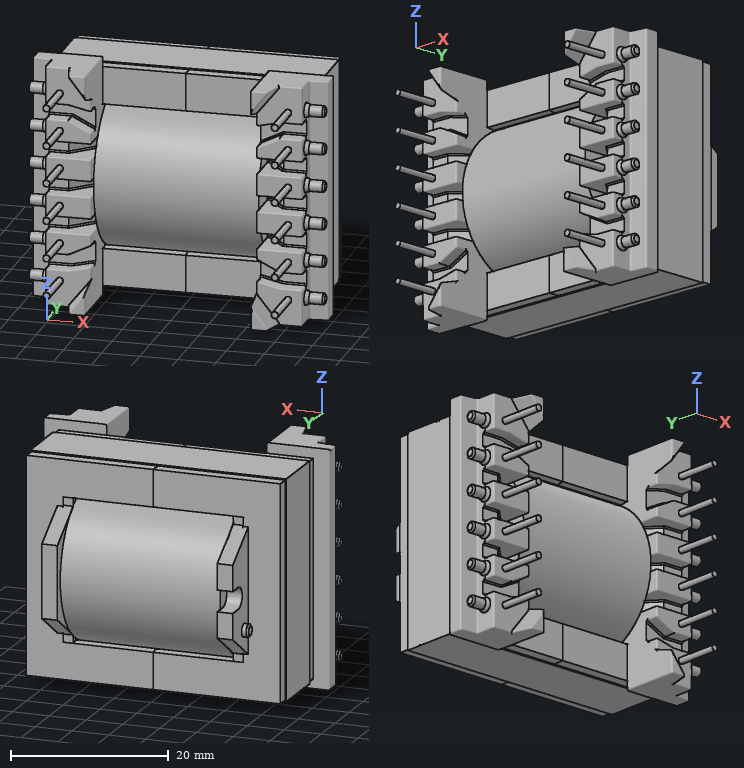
import cadquery as cq
import math

core_half_length = 17.25
core_height = 29.25
core_depth = 11.7
window_half_length = 12.2
window_radius = 10.6
flare_start_z = 9.44
flare_end_z = 9.64
centre_leg_radius = 5.0

tape_width = 8.35
tape_thickness = 0.17

tube_radius = 6.0
winding_radius = 10.5
flange_inner_x = 10.85
overhang_gap = 0.15

ear_outer_x = 12.95
ear_base_half = 8.55
ear_tip_half = 4.95
ear_tip_y = 11.5
ear_notch_radius = 1.45
ear_notch_centre_y = 9.6
ear_boss_radius = 0.88
ear_boss_length = 0.86
ear_boss_y = 7.5
ear_boss_z = -4.8
ear_boss_chamfer = 0.25

block_height = 32.0
block_outer_x = 19.5
block_wall_x = 16.92
lip_outer_y = -8.2
lip_root_y = -8.5
lip_root_fillet = 0.25
block_front_y = -11.6
edge_radius = 0.25

foot_tip_y = -14.5
foot_root_x = 14.1
foot_root_z = 12.0
foot_tip_x = 13.3
foot_tip_z = 12.85

pin_count = 6
pin_pitch = 5.0
tooth_width = 3.0
slot_floor_y = -9.55
slot_overrun = 1.0
floor_bevel = 0.2
slot_bend_x = 13.9
slot_end_high_z = 10.3
slot_end_low_z = 7.5
ramp_end_y = -6.0
left_ramp_start_x = 14.38
right_ramp_start_x = 13.9
pin_radius = 0.45
pin_x = 15.0
pin_tip_y = -18.0
peg_radius = 0.75
peg_root_radius = 1.0
peg_cone_length = 0.57
peg_chamfer = 0.25
peg_y = -9.97

core_face_y = core_depth / 2
ear_base_y = core_face_y + overhang_gap
block_back_y = -ear_base_y
slot_width = pin_pitch - tooth_width
pin_places = [(i - (pin_count - 1) / 2) * pin_pitch for i in range(pin_count)]
bent_slot_z = 2 * pin_pitch
straight_slot_places = [-pin_pitch, 0, pin_pitch]


def same_size(first, second):
    """Whether two numbers are equal apart from their sign."""
    return math.isclose(abs(first), abs(second), abs_tol=1e-4)


def box(x_range, y_range, z_range):
    """Box between pairs of coordinates."""
    sizes = [high - low for low, high in (x_range, y_range, z_range)]
    return cq.Workplane("XY").box(*sizes, centered=False).translate((x_range[0], y_range[0], z_range[0]))


def rod_x(radius, start_x, end_x, y=0, z=0):
    """Cylinder along X."""
    return cq.Workplane("YZ", origin=(start_x, y, z)).circle(radius).extrude(end_x - start_x)


def window_prism(start_x, end_x):
    """Core window section: round inside faces that flare open toward both core faces."""
    arc_y = math.sqrt(window_radius**2 - flare_start_z**2)
    return (
        cq.Workplane("YZ", origin=(start_x, 0, 0))
        .moveTo(-core_face_y, flare_end_z)
        .lineTo(-arc_y, flare_start_z)
        .threePointArc((0, window_radius), (arc_y, flare_start_z))
        .lineTo(core_face_y, flare_end_z)
        .lineTo(core_face_y, -flare_end_z)
        .lineTo(arc_y, -flare_start_z)
        .threePointArc((0, -window_radius), (-arc_y, -flare_start_z))
        .lineTo(-core_face_y, -flare_end_z)
        .close()
        .extrude(end_x - start_x)
    )


def make_core_half():
    """Right-hand E core half."""
    blank = box((0, core_half_length), (-core_face_y, core_face_y), (-core_height / 2, core_height / 2))
    leg = rod_x(centre_leg_radius, 0, window_half_length)
    return blank.cut(window_prism(0, window_half_length)).union(leg)


def make_tape():
    """Rectangular band wrapped around the long outside of the core."""
    return (
        cq.Workplane("XZ", origin=(0, tape_width / 2, 0))
        .rect(2 * (core_half_length + tape_thickness), core_height + 2 * tape_thickness)
        .rect(2 * core_half_length, core_height)
        .extrude(tape_width)
    )


def make_winding():
    outside = rod_x(winding_radius, -flange_inner_x, flange_inner_x)
    return outside.cut(rod_x(tube_radius, -flange_inner_x, flange_inner_x))


def make_ear():
    """Tapered tab behind the core held clear of the core outside the window."""
    tab = (
        cq.Workplane("YZ", origin=(flange_inner_x, 0, 0))
        .polyline([
            (core_face_y, -ear_base_half),
            (ear_tip_y, -ear_tip_half),
            (ear_tip_y, ear_tip_half),
            (core_face_y, ear_base_half),
        ])
        .close()
        .extrude(ear_outer_x - flange_inner_x)
    )
    gap = box((window_half_length, ear_outer_x), (core_face_y, ear_base_y), (-ear_base_half, ear_base_half))
    return tab.cut(gap)


def make_notch():
    """Round-bottomed wire notch through the left ear."""
    round_end = rod_x(ear_notch_radius, -ear_outer_x, -flange_inner_x, ear_notch_centre_y)
    mouth = box(
        (-ear_outer_x, -flange_inner_x),
        (ear_notch_centre_y, ear_tip_y),
        (-ear_notch_radius, ear_notch_radius),
    )
    return round_end.union(mouth)


def make_foot():
    """Tapered triangular foot at the upper inside corner of a terminal block."""
    top_z = block_height / 2

    def corner(x, z):
        return [(flange_inner_x, top_z), (x, top_z), (flange_inner_x, z)]

    return (
        cq.Workplane("XZ", origin=(0, block_front_y, 0))
        .polyline(corner(foot_root_x, foot_root_z))
        .close()
        .workplane(offset=block_front_y - foot_tip_y)
        .polyline(corner(foot_tip_x, foot_tip_z))
        .close()
        .loft(ruled=True)
    )


def bevel_floor(cutter):
    """Bevel the long floor corners of a slot cutter."""

    def is_floor_corner(edge):
        crosses_slot = same_size(edge.tangentAt(0.5).z, 1)
        return edge.BoundingBox().ymin > slot_floor_y - edge_radius and not crosses_slot

    corners = [edge for edge in cutter.edges().vals() if is_floor_corner(edge)]
    return cutter.newObject(corners).chamfer(floor_bevel)


def straight_slot_cutter(ramp_start_x):
    """Slot along X whose floor ramps down to the flange at the inside."""
    overrun = slot_overrun / (ramp_start_x - flange_inner_x)
    cutter = (
        cq.Workplane("XY", origin=(0, 0, -slot_width / 2))
        .polyline([
            (flange_inner_x - slot_overrun, foot_tip_y),
            (block_wall_x + slot_overrun, foot_tip_y),
            (block_wall_x + slot_overrun, slot_floor_y),
            (ramp_start_x, slot_floor_y),
            (flange_inner_x - slot_overrun, ramp_end_y + overrun * (ramp_end_y - slot_floor_y)),
        ])
        .close()
        .extrude(slot_width)
    )
    return bevel_floor(cutter)


def bent_slot_cutter():
    """Upper slot that bends toward the middle; its walls keep their slant past the inside face."""
    overrun = slot_overrun / (slot_bend_x - flange_inner_x)
    inner_x = flange_inner_x - slot_overrun
    outer_x = block_wall_x + slot_overrun
    high_z = bent_slot_z + slot_width / 2
    low_z = bent_slot_z - slot_width / 2
    cutter = (
        cq.Workplane("XZ", origin=(0, slot_floor_y, 0))
        .polyline([
            (inner_x, slot_end_low_z - overrun * (low_z - slot_end_low_z)),
            (slot_bend_x, low_z),
            (outer_x, low_z),
            (outer_x, high_z),
            (slot_bend_x, high_z),
            (inner_x, slot_end_high_z - overrun * (high_z - slot_end_high_z)),
        ])
        .close()
        .extrude(slot_floor_y - foot_tip_y)
    )
    return bevel_floor(cutter)


def round_edges(block):
    """Round the end faces, back, lip, tooth and foot-tip edges; leave slot floor ends sharp."""

    def is_rounded(edge):
        centre = edge.Center()
        direction = edge.tangentAt(0.5)
        on_inside = same_size(centre.x, flange_inner_x)
        on_wall = same_size(centre.x, block_wall_x)
        if same_size(centre.y, block_back_y):
            return same_size(centre.x, block_outer_x)
        if same_size(centre.z, block_height / 2) or same_size(centre.y, foot_tip_y):
            return True
        if same_size(centre.y, block_front_y):
            on_foot_root = centre.x < foot_root_x and abs(centre.z) > foot_root_z and not on_inside
            return not on_foot_root
        if same_size(centre.x, block_outer_x):
            return True
        return (on_wall or on_inside) and same_size(direction.y, 1)

    rounded = [edge for edge in block.edges().vals() if is_rounded(edge)]
    return block.newObject(rounded).fillet(edge_radius)


def make_block(ramp_start_x):
    """Right-hand terminal block: lip, teeth, slots, feet and wire ramps."""
    block = (
        cq.Workplane("XY", origin=(0, 0, -block_height / 2))
        .polyline([
            (flange_inner_x, block_back_y),
            (block_outer_x, block_back_y),
            (block_outer_x, lip_outer_y),
            (block_wall_x, lip_root_y),
            (block_wall_x, block_front_y),
            (flange_inner_x, block_front_y),
        ])
        .close()
        .extrude(block_height)
    )
    lip_root = cq.selectors.NearestToPointSelector((block_wall_x, lip_root_y, 0))
    block = block.edges(lip_root).fillet(lip_root_fillet)
    foot = make_foot()
    block = block.union(foot).union(foot.mirror("XY"))
    straight_slot = straight_slot_cutter(ramp_start_x)
    for z in straight_slot_places:
        block = block.cut(straight_slot.translate((0, 0, z)))
    bent_slot = bent_slot_cutter()
    block = block.cut(bent_slot).cut(bent_slot.mirror("XY"))
    return round_edges(block)


def make_pegs_and_pins():
    """Side pegs with a conical root, and front solder pins, on the right-hand block."""
    peg = (
        cq.Workplane("XY", origin=(0, peg_y, 0))
        .polyline([
            (block_wall_x, 0),
            (block_wall_x, peg_root_radius),
            (block_wall_x + peg_cone_length, peg_radius),
            (block_outer_x - peg_chamfer, peg_radius),
            (block_outer_x, peg_radius - peg_chamfer),
            (block_outer_x, 0),
        ])
        .close()
        .revolve(360, (0, 0, 0), (1, 0, 0))
    )
    pin_root = cq.Workplane("XZ", origin=(pin_x, block_front_y, 0))
    pin = pin_root.circle(pin_radius).extrude(block_front_y - pin_tip_y)
    return [shape.translate((0, 0, z)) for shape in (peg, pin) for z in pin_places]


def make_bobbin_end(ramp_start_x):
    """Everything of the bobbin at its right-hand end."""
    end = window_prism(flange_inner_x, window_half_length).union(make_ear())
    neck = box((flange_inner_x, window_half_length), (block_back_y, -core_face_y), (-flare_end_z, flare_end_z))
    end = end.union(neck).union(make_block(ramp_start_x))
    for part in make_pegs_and_pins():
        end = end.union(part)
    return end


def make_bobbin():
    right = make_bobbin_end(right_ramp_start_x)
    left = make_bobbin_end(left_ramp_start_x).mirror("YZ")
    boss = rod_x(
        ear_boss_radius, -ear_outer_x - ear_boss_length, -ear_outer_x, ear_boss_y, ear_boss_z
    ).faces("<X").chamfer(ear_boss_chamfer)
    tube = rod_x(tube_radius, -window_half_length, window_half_length)
    bore = rod_x(centre_leg_radius, -window_half_length, window_half_length)
    return tube.union(right).union(left).union(boss).cut(bore).cut(make_notch())


bobbin = make_bobbin()
winding = make_winding()
right_core = make_core_half()
left_core = right_core.mirror("YZ")
tape = make_tape()

result = cq.Compound.makeCompound([
    bobbin.val(),
    winding.val(),
    right_core.val(),
    left_core.val(),
    tape.val(),
])